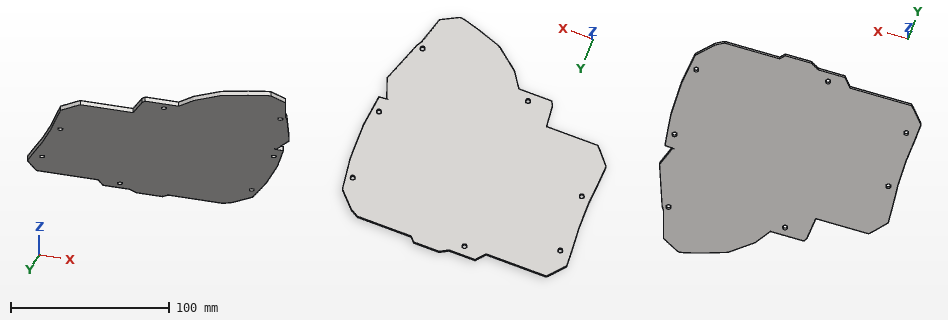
import cadquery as cq

length = 153.0
depth = 148.2
thickness = 3.0
hole_diameter = 3.0

rear_edge_y = 145.1
rear_step_y = 139.1
front_edge_y = 47.5
front_tab_y = 30.6
corner_width = 9.6
corner_height = 10.9
corner_bend_x = 7.0
corner_bend_drop = 2.8

waist_mid_y = (rear_step_y + front_edge_y) / 2
waist_end = rear_step_y - corner_height - waist_mid_y
waist_bend = 16.7
waist_bend_x = 1.0
waist_outer_bend = 25.9
waist_outer_bend_x = 0.5
waist_flat = 9.0
waist_flat_x = 1.7

bulge_mid_y = 99.3
bulge_end = 32.3
bulge_flat = 11.5
bulge_end_x = length - 2.6

left_side = [
    (0, waist_mid_y - waist_end),
    (waist_outer_bend_x, waist_mid_y - waist_outer_bend),
    (waist_bend_x, waist_mid_y - waist_bend),
    (waist_flat_x, waist_mid_y - waist_flat),
    (waist_flat_x, waist_mid_y + waist_flat),
    (waist_bend_x, waist_mid_y + waist_bend),
    (waist_outer_bend_x, waist_mid_y + waist_outer_bend),
    (0, waist_mid_y + waist_end),
]

rear_side = [
    (corner_bend_x, rear_step_y - corner_bend_drop),
    (corner_width, rear_step_y),
    (50.4, rear_step_y),
    (55.5, rear_edge_y),
    (73.2, rear_edge_y),
    (78.7, depth),
    (96.0, depth),
    (98.7, rear_edge_y),
    (135.2, rear_edge_y),
    (140.4, 142.2),
]

right_side = [
    (bulge_end_x, bulge_mid_y + bulge_end),
    (length, bulge_mid_y + bulge_flat),
    (length, bulge_mid_y - bulge_flat),
    (bulge_end_x, bulge_mid_y - bulge_end),
    (144.5, 66.6),
    (145.4, 66.6),
    (150.0, 53.5),
    (140.0, 27.0),
    (138.2, 24.0),
    (132.7, 6.1),
]

front_side = [
    (121.0, 0),
    (117.3, 0.6),
    (107.0, 3.5),
    (92.1, 8.5),
    (90.5, 9.3),
    (76.4, 20.5),
    (69.5, front_tab_y),
    (47.3, front_tab_y),
    (45.9, 33.0),
    (44.5, front_edge_y),
    (corner_width, front_edge_y),
    (corner_bend_x, front_edge_y + corner_bend_drop),
]

left_hole_x = 7.3
right_hole_x = 147.0
hole_centers = [
    (left_hole_x, 120.3),
    (left_hole_x, 82.2),
    (64.9, 139.3),
    (right_hole_x, 122.5),
    (right_hole_x, 76.0),
    (61.4, 36.0),
    (136.0, 27.5),
]

outline = left_side + rear_side + right_side + front_side
plate = cq.Workplane("XY").polyline(outline).close().extrude(thickness)
holes = cq.Workplane("XY").pushPoints(hole_centers).circle(hole_diameter / 2).extrude(thickness)

result = plate.cut(holes)